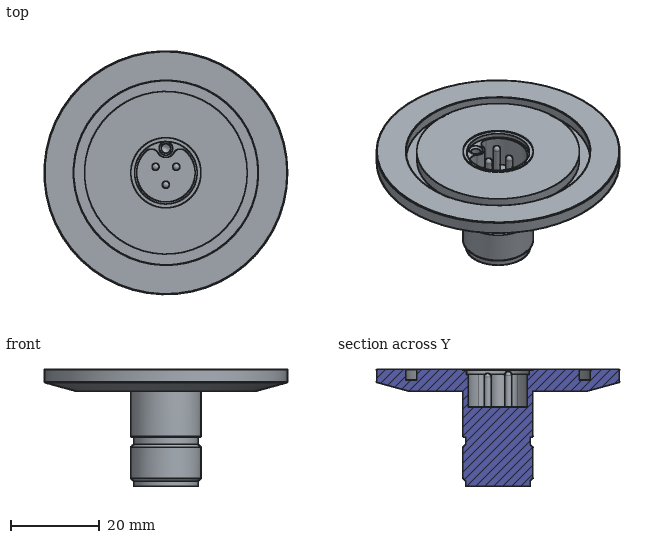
import cadquery as cq
import math

flange_radius = 27.45
flange_height = 5.05
rim_height = 3.05
taper_angle = 15.0
rim_chamfer = 0.15
back_radius = flange_radius - (flange_height - rim_height) / math.tan(math.radians(taper_angle))

groove_outer_radius = 20.75
groove_inner_radius = 18.3
groove_depth = 2.4
groove_lip_chamfer = 0.1

total_height = 26.45
body_radius = 7.95
neck_radius = 7.3
body_chamfer = body_radius - neck_radius
shoulder_z = -15.35
shoulder_chamfer = 0.2
lower_body_top_z = -16.95
lower_body_bottom_z = -25.25

recess_radius = 7.9
recess_depth = 0.2
bore_diameter = 14.1
bore_radius = bore_diameter / 2
ledge_depth = 1.2
pocket_radius = 6.6
floor_depth = 8.5

key_y = 5.5
key_radius = 2.05
key_blend_radius = 1.7
key_hole_diameter = 2.15
key_hole_radius = key_hole_diameter / 2
key_hole_depth = 2.75
countersink_radius = 1.55
drill_point_height = 0.55

pin_diameter = 1.6
pin_radius = pin_diameter / 2
pin_circle_radius = 2.7
pin_angles_and_tip_depths = [(-90, 0.55), (30, 0.55), (150, 0.95)]


def disc(radius, top_depth, bottom_depth):
    """Upright cylinder on the Z axis between two depths below the front face."""
    return cq.Workplane("XY").workplane(offset=-bottom_depth).circle(radius).extrude(bottom_depth - top_depth)


def turn(profile):
    """Solid of revolution about the Z axis from (radius, z) points."""
    return cq.Workplane("XZ").polyline(profile).close().revolve(360, (0, 0, 0), (0, 1, 0))


def make_shell():
    """Flange and connector body, turned from one half profile."""
    profile = [
        (0, 0),
        (flange_radius - rim_chamfer, 0),
        (flange_radius, -rim_chamfer),
        (flange_radius, -rim_height + rim_chamfer),
        (flange_radius - rim_chamfer, -rim_height),
        (back_radius, -flange_height),
        (body_radius, -flange_height),
        (body_radius, shoulder_z + shoulder_chamfer),
        (body_radius - shoulder_chamfer, shoulder_z),
        (neck_radius, shoulder_z),
        (neck_radius, lower_body_top_z),
        (body_radius, lower_body_top_z - body_chamfer),
        (body_radius, lower_body_bottom_z + body_chamfer),
        (neck_radius, lower_body_bottom_z),
        (neck_radius, -total_height),
        (0, -total_height),
    ]
    return turn(profile)


def make_groove():
    """Space removed for the ring groove, flared where its outer wall meets the front face."""
    profile = [
        (groove_inner_radius, 0),
        (groove_outer_radius + groove_lip_chamfer, 0),
        (groove_outer_radius, -groove_lip_chamfer),
        (groove_outer_radius, -groove_depth),
        (groove_inner_radius, -groove_depth),
    ]
    return turn(profile)


def make_socket():
    """Space removed for the socket: recess, bore, and a pocket notched by the key lobe."""
    lobe = disc(key_radius, ledge_depth, floor_depth).translate((0, key_y, 0))
    pocket = disc(pocket_radius, ledge_depth, floor_depth).cut(lobe)
    pocket = pocket.edges("|Z").edges(">Y").fillet(key_blend_radius)
    return pocket.union(disc(bore_radius, 0, ledge_depth)).union(disc(recess_radius, 0, recess_depth))


def make_key_hole():
    """Blind hole in the key lobe with a 45 degree countersink and a drill point."""
    countersink_depth = countersink_radius - key_hole_radius
    profile = [
        (0, -ledge_depth),
        (countersink_radius, -ledge_depth),
        (key_hole_radius, -ledge_depth - countersink_depth),
        (key_hole_radius, -ledge_depth - key_hole_depth),
        (0, -ledge_depth - key_hole_depth - drill_point_height),
    ]
    return turn(profile).translate((0, key_y, 0))


def make_pin(angle, tip_depth):
    """Domed pin, rooted one pin radius into the socket floor."""
    dome_depth = tip_depth + pin_radius
    pin = disc(pin_radius, dome_depth, floor_depth + pin_radius)
    dome = cq.Workplane("XY").sphere(pin_radius).translate((0, 0, -dome_depth))
    x = pin_circle_radius * math.cos(math.radians(angle))
    y = pin_circle_radius * math.sin(math.radians(angle))
    return pin.union(dome).translate((x, y, 0))


result = make_shell().cut(make_groove()).cut(make_socket()).cut(make_key_hole())
for pin_angle, pin_tip_depth in pin_angles_and_tip_depths:
    result = result.union(make_pin(pin_angle, pin_tip_depth))